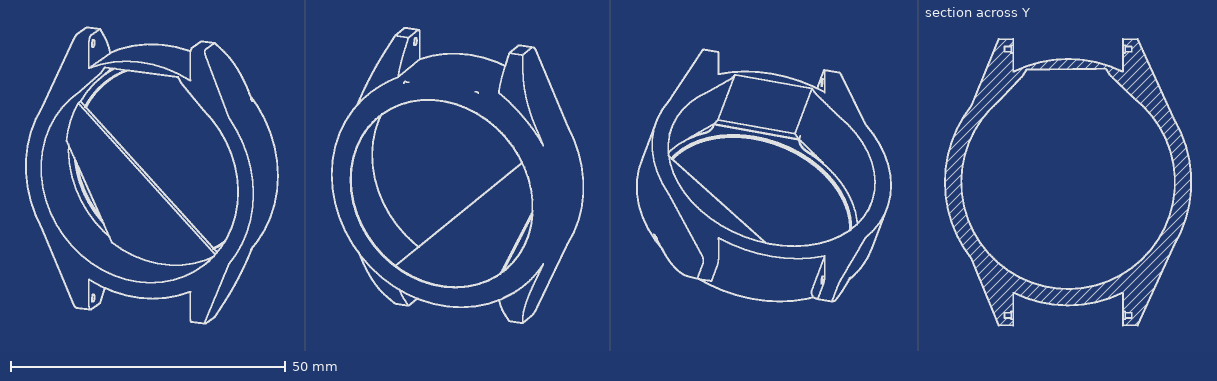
import cadquery as cq
import math

case_radius = 22.5
case_depth = 13.3
front_y = -case_depth / 2
back_y = case_depth / 2
rim_round = 2.0

bore_radius = 19.45
seat_radius = 19.4
lip_radius = 18.1
lip_chamfer = 0.15
taper_front_y = 4.75
seat_front_y = 5.0
seat_floor_y = 6.15

lug_tip_z = 26.15
lug_inner_x = 10.0
lug_tip_x = 12.65
left_lug_root_z = 11.5
right_lug_root_z = 13.9
lug_back_y = 4.5
lug_tip_back_y = -1.35
lug_tip_round = 1.0
lug_back_arc_radius = 12.05

bar_hole_diameter = 0.9
bar_hole_depth = 1.55
bar_recess_diameter = 1.35
bar_recess_depth = 0.4
bar_hole_y = -4.6
bar_hole_z = 24.25

notch_outline = [
    (-13.5, 13.85),
    (-7.6, 19.55),
    (-6.9, 20.65),
    (7.6, 20.5),
    (8.25, 19.4),
    (13.5, 13.85),
]
notch_floor_y = 6.0

bump_left_corner = (-7.6, 19.5)
bump_right_corner = (8.35, 19.3)
bump_left_mid = (-8.1, 18.2)
bump_right_mid = (8.65, 18.1)
bump_left_foot_angle = 117.5
bump_right_foot_angle = 60.0

plate_upper_chord_angles = (151.0, -58.0)
plate_lower_chord_angles = (173.7, -121.7)
plate_overlap = 0.1


def xz_plane(y):
    """Sketch plane at the given depth: local x is X, local y is Z, extrusion goes to -Y."""
    return cq.Workplane("XZ", origin=(0, y, 0))


def disc(radius, start_y, end_y):
    """Cylinder on the Y axis between two depths."""
    return xz_plane(end_y).circle(radius).extrude(end_y - start_y)


def cone(start_radius, end_radius, start_y, end_y):
    """Frustum on the Y axis between two depths."""
    rear = xz_plane(end_y).circle(end_radius).workplane(offset=end_y - start_y)
    return rear.circle(start_radius).loft()


def on_circle(radius, angle):
    """Point (x, z) on a circle about the Y axis."""
    a = math.radians(angle)
    return (radius * math.cos(a), radius * math.sin(a))


def make_lug_pair(side, root_z):
    """Upper and lower lugs on one side (side is -1 for -X, +1 for +X)."""
    root_x = math.sqrt(case_radius**2 - root_z**2)
    outline = [
        (side * lug_inner_x, -lug_tip_z),
        (side * lug_tip_x, -lug_tip_z),
        (side * root_x, -root_z),
        (side * root_x, root_z),
        (side * lug_tip_x, lug_tip_z),
        (side * lug_inner_x, lug_tip_z),
    ]
    return xz_plane(lug_back_y).polyline(outline).close().extrude(lug_back_y - front_y)


def make_lug_profile():
    """Side profile of the lugs: 45 degree slope blended by an arc into the flat back."""
    slope_angle = math.radians(45)
    arc_drop_y = lug_back_arc_radius * (1 - math.cos(slope_angle))
    arc_drop_z = lug_back_arc_radius * math.sin(slope_angle)
    slope_end_y = lug_back_y - arc_drop_y
    slope_end_z = lug_tip_z - (slope_end_y - lug_tip_back_y) * math.tan(slope_angle)
    arc_end_z = slope_end_z - arc_drop_z
    arc_center_y = lug_back_y - lug_back_arc_radius
    mid_angle = slope_angle / 2
    mid_y = arc_center_y + lug_back_arc_radius * math.cos(mid_angle)
    mid_z = arc_end_z + lug_back_arc_radius * math.sin(mid_angle)
    profile = (
        cq.Workplane("YZ", origin=(-case_radius, 0, 0))
        .moveTo(front_y, -lug_tip_z)
        .lineTo(lug_tip_back_y, -lug_tip_z)
        .lineTo(slope_end_y, -slope_end_z)
        .threePointArc((mid_y, -mid_z), (lug_back_y, -arc_end_z))
        .lineTo(lug_back_y, arc_end_z)
        .threePointArc((mid_y, mid_z), (slope_end_y, slope_end_z))
        .lineTo(lug_tip_back_y, lug_tip_z)
        .lineTo(front_y, lug_tip_z)
        .close()
        .extrude(2 * case_radius)
    )
    return profile.faces("<Y").edges("|X").fillet(lug_tip_round)


def make_body():
    """Solid case with its lugs, before the bore is cut."""
    lugs = make_lug_pair(-1, left_lug_root_z).union(make_lug_pair(1, right_lug_root_z))
    case = disc(case_radius, front_y, back_y).faces(">Y").edges().fillet(rim_round)
    return case.union(lugs.intersect(make_lug_profile()))


def make_bore():
    """Bore, taper, seat and chamfered lip, all round."""
    bore = disc(bore_radius, front_y, taper_front_y)
    taper = cone(bore_radius, seat_radius, taper_front_y, seat_front_y)
    seat = disc(seat_radius, seat_front_y, seat_floor_y)
    lip = disc(lip_radius, seat_floor_y, back_y)
    chamfer = cone(lip_radius + lip_chamfer, lip_radius, seat_floor_y, seat_floor_y + lip_chamfer)
    return bore.union(taper).union(seat).union(lip).union(chamfer)


def make_notch():
    """Notch at the top of the bore."""
    return xz_plane(notch_floor_y).polyline(notch_outline).close().extrude(notch_floor_y - front_y)


def make_seat_bump():
    """Bump at the top of the seat circle: a flat top whose ends curve down to the seat circle."""
    return (
        xz_plane(seat_floor_y)
        .moveTo(*on_circle(seat_radius, bump_left_foot_angle))
        .threePointArc(bump_left_mid, bump_left_corner)
        .lineTo(*bump_right_corner)
        .threePointArc(bump_right_mid, on_circle(seat_radius, bump_right_foot_angle))
        .close()
        .extrude(seat_floor_y - seat_front_y)
    )


def bar_cutters(diameter, depth):
    """Two rods along X that reach the given depth into the inner faces of all four lugs."""
    reach = lug_inner_x + depth
    rods = cq.Workplane("YZ", origin=(-reach, 0, 0))
    rods = rods.pushPoints([(bar_hole_y, bar_hole_z), (bar_hole_y, -bar_hole_z)])
    return rods.circle(diameter / 2).extrude(2 * reach)


def make_bar_holes():
    """Blind spring bar holes, each with a shallow recess at its mouth."""
    holes = bar_cutters(bar_hole_diameter, bar_hole_depth)
    return holes.union(bar_cutters(bar_recess_diameter, bar_recess_depth))


def make_plate():
    """Plate held in the seat, with straight edges along two chords and arcs between them."""
    radius = seat_radius + plate_overlap
    upper_left, upper_right = [on_circle(radius, a) for a in plate_upper_chord_angles]
    lower_left, lower_right = [on_circle(radius, a) for a in plate_lower_chord_angles]
    left_mid = on_circle(radius, (plate_upper_chord_angles[0] + plate_lower_chord_angles[0]) / 2)
    bottom_mid = on_circle(radius, (plate_upper_chord_angles[1] + plate_lower_chord_angles[1]) / 2)
    return (
        xz_plane(seat_floor_y)
        .moveTo(*upper_left)
        .threePointArc(left_mid, lower_left)
        .lineTo(*lower_right)
        .threePointArc(bottom_mid, upper_right)
        .close()
        .extrude(seat_floor_y - seat_front_y)
    )


opening = make_bore().union(make_notch()).union(make_seat_bump())
result = make_body().cut(opening).cut(make_bar_holes()).union(make_plate())